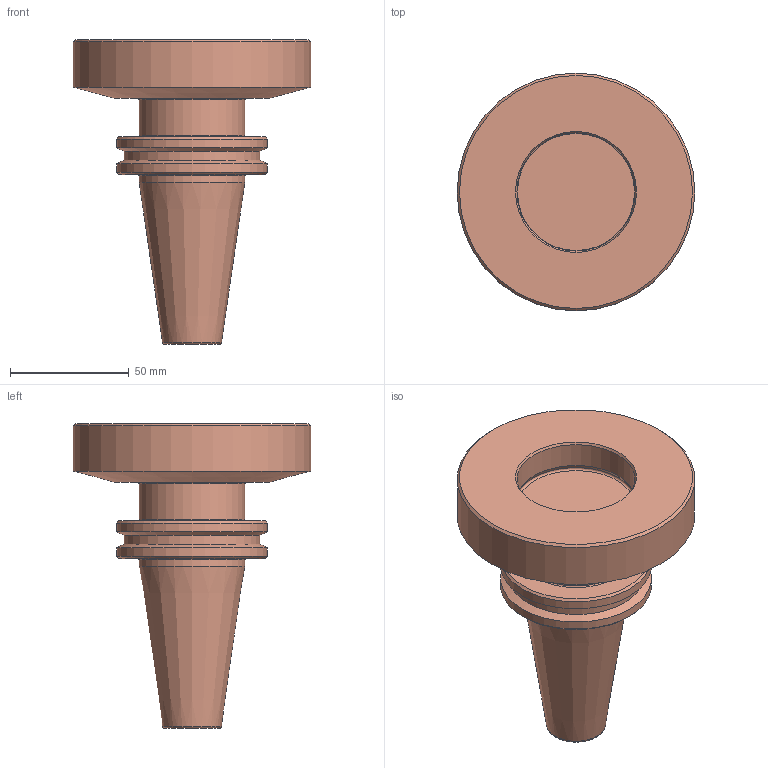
import cadquery as cq
import math


gauge_diameter = 44.45
shank_length = 68.25
taper_ratio = 7 / 24
shank_end_fillet = 1.0

flange_diameter = 63.5
flange_bottom = 3.18
flange_top = 19.05
flange_chamfer = 0.9
groove_diameter = 57.0
groove_mouth_width = 6.8
groove_floor_width = 3.7

flange_corner_fillet = 0.5
head_corner_fillet = 0.8

head_diameter = 100.0
head_top = 60.0
head_rim_bottom = 40.0
head_chamfer = 1.0
underside_diameter = 65.6
underside_angle = 15.0
recess_diameter = 49.7
recess_depth = 14.15
recess_mouth_widening = 0.6
recess_mouth_depth = 1.0
relief_height = 2.5
relief_widening = 0.9
relief_fillet = 0.8

gauge_radius = gauge_diameter / 2
head_radius = head_diameter / 2
underside_radius = underside_diameter / 2
underside_height = (head_radius - underside_radius) * math.tan(math.radians(underside_angle))
head_bottom = head_rim_bottom - underside_height


def make_shank():
    """Solid cone below the gauge plane with a rounded small end."""
    end_radius = gauge_radius - shank_length * taper_ratio / 2
    outline = [(0, 0), (gauge_radius, 0), (end_radius, -shank_length), (0, -shank_length)]
    cone = cq.Workplane("XZ").polyline(outline).close().revolve(360, (0, 0), (0, 1))
    return cone.faces("<Z").edges().fillet(shank_end_fillet)


def make_neck():
    """Cylinder from the gauge plane up to the head."""
    return cq.Workplane("XY").circle(gauge_radius).extrude(head_bottom)


def make_flange():
    """Chamfered flange with a V groove around its rim."""
    flange_radius = flange_diameter / 2
    groove_radius = groove_diameter / 2
    groove_middle = (flange_bottom + flange_top) / 2
    flange = (
        cq.Workplane("XY", origin=(0, 0, flange_bottom))
        .circle(flange_radius)
        .extrude(flange_top - flange_bottom)
        .faces("<Z or >Z")
        .edges()
        .chamfer(flange_chamfer)
    )
    groove_outline = [
        (flange_radius, groove_middle + groove_mouth_width / 2),
        (groove_radius, groove_middle + groove_floor_width / 2),
        (groove_radius, groove_middle - groove_floor_width / 2),
        (flange_radius, groove_middle - groove_mouth_width / 2),
    ]
    groove = cq.Workplane("XZ").polyline(groove_outline).close().revolve(360, (0, 0), (0, 1))
    return flange.cut(groove)


def make_head():
    """Disc with a chamfered top edge and a shallow cone underneath."""
    outline = [
        (0, head_bottom),
        (underside_radius, head_bottom),
        (head_radius, head_rim_bottom),
        (head_radius, head_top),
        (0, head_top),
    ]
    head = cq.Workplane("XZ").polyline(outline).close().revolve(360, (0, 0), (0, 1))
    return head.faces(">Z").edges().chamfer(head_chamfer)


def make_recess():
    """Volume of the central recess: flared mouth, straight wall and a rounded undercut."""
    recess_radius = recess_diameter / 2
    floor = head_top - recess_depth
    outline = [
        (0, floor),
        (recess_radius + relief_widening, floor),
        (recess_radius, floor + relief_height),
        (recess_radius, head_top - recess_mouth_depth),
        (recess_radius + recess_mouth_widening, head_top),
        (0, head_top),
    ]
    recess = cq.Workplane("XZ").polyline(outline).close().revolve(360, (0, 0), (0, 1))
    return recess.faces("<Z").edges().fillet(relief_fillet)


def neck_corner(height):
    """Selector for the circular edge of the neck at the given height."""
    margin = 0.01
    reach = gauge_radius + margin
    return cq.selectors.BoxSelector(
        (-reach, -reach, height - margin), (reach, reach, height + margin), boundingbox=True
    )


body = make_shank().union(make_neck()).union(make_flange()).union(make_head())
for corner_height, corner_fillet in (
    (flange_bottom, flange_corner_fillet),
    (flange_top, flange_corner_fillet),
    (head_bottom, head_corner_fillet),
):
    body = body.edges(neck_corner(corner_height)).fillet(corner_fillet)

result = body.cut(make_recess())